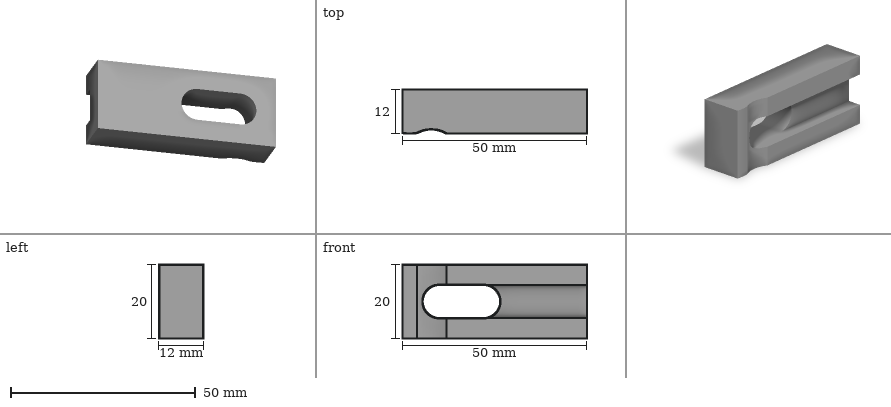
import cadquery as cq
import math

length = 50.0
thickness = 12.0
height = 20.0

nose_length = 4.0
nose_radius = 12.0
relief_end = 12.0
relief_radius = 8.0

slot_width = 9.0
slot_start = 5.5
slot_length = 21.0
groove_depth = 4.0


def make_body():
    """Bar with a rounded nose and a concave relief, extruded along Z."""
    nose_drop = nose_radius - math.sqrt(nose_radius**2 - (nose_length / 2) ** 2)
    return (
        cq.Workplane("XY")
        .moveTo(0, nose_drop)
        .threePointArc((nose_length / 2, 0), (nose_length, nose_drop))
        .radiusArc((relief_end, 0), relief_radius)
        .lineTo(length, 0)
        .lineTo(length, thickness)
        .lineTo(0, thickness)
        .close()
        .extrude(height)
    )


def make_slot():
    """Round-ended slot cutter running through the full thickness."""
    return (
        cq.Workplane("XZ")
        .center(slot_start + slot_length / 2, height / 2)
        .slot2D(slot_length, slot_width)
        .extrude(-thickness)
    )


def make_groove():
    """Shallow groove cutter from the slot's middle out through the +X end."""
    groove_start = slot_start + slot_length / 2
    return cq.Workplane("XY").box(
        length - groove_start, groove_depth, slot_width, centered=(False, False, True)
    ).translate((groove_start, 0, height / 2))


result = make_body().cut(make_slot()).cut(make_groove())